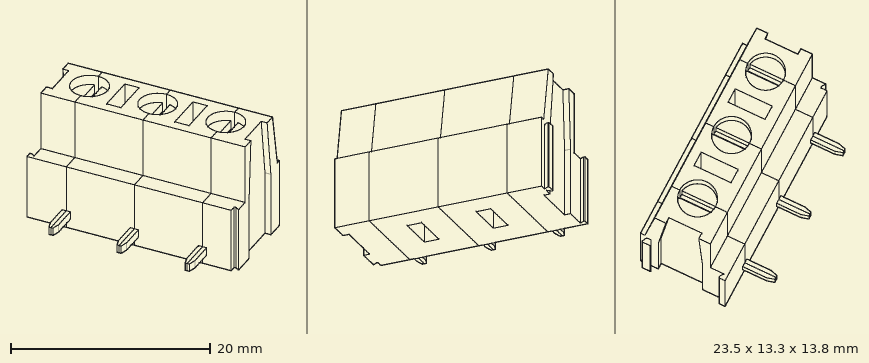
import cadquery as cq


pole_pitch = 7.62
pole_count = 3
end_length = pole_pitch / 2
first_pole_x = -pole_pitch * (pole_count - 1) / 2
last_pole_x = -first_pole_x
left_face_x = first_pole_x - end_length
right_face_x = last_pole_x + end_length

body_depth = 9.8
body_height = 13.8
front_step_height = 7.2
back_step_height = 7.7
upper_front_y = 1.95
back_step_y = 9.3
top_back_y = 8.2

window_width = 1.6
window_front_y = 3.05
window_back_y = 7.2

end_recess_depth = 0.66
end_recess_base_front_y = 2.85
end_recess_base_back_y = 7.8
end_recess_top_front_y = 3.25
end_recess_top_back_y = 6.95
end_recess_bend_height = front_step_height

screw_y = 5.3
screw_radius = 2.0
screw_well_depth = 1.1
driver_slot_width = 0.8
driver_slot_depth = 1.0

pin_length = 3.5
pin_taper_length = 0.8
pin_width = 0.92
pin_tip_width = 0.48
pin_bottom_z = 1.1
pin_height = 0.88

joint_reach = 0.6
hook_bend_reach = 0.43
hook_tip_y = 0.68
hook_bend_y = 0.72
hook_root_y = 0.44
tail_centre_y = 8.86
tail_bend_reach = 0.53
tail_tip_half_width = 0.44
tail_bend_half_width = 0.52
tail_root_half_width = 0.23


def section_block(start_x, end_x):
    """Stepped housing section between two X positions."""
    outline = [
        (0, 0),
        (body_depth, 0),
        (body_depth, back_step_height),
        (back_step_y, back_step_height),
        (top_back_y, body_height),
        (upper_front_y, body_height),
        (upper_front_y, front_step_height),
        (0, front_step_height),
    ]
    return cq.Workplane("YZ", origin=(start_x, 0, 0)).polyline(outline).close().extrude(end_x - start_x)


def add_half_pole(section, pole_x, side):
    """Give a section its half of a pole; side is +1 or -1, the X direction of the section."""
    half_pin_outline = [
        (pole_x, 0),
        (pole_x + side * pin_width / 2, 0),
        (pole_x + side * pin_width / 2, pin_taper_length - pin_length),
        (pole_x + side * pin_tip_width / 2, -pin_length),
        (pole_x, -pin_length),
    ]
    pin_plane = cq.Workplane("XY", origin=(0, 0, pin_bottom_z))
    half_pin = pin_plane.polyline(half_pin_outline).close().extrude(pin_height)

    screw_top = cq.Workplane("XY", origin=(pole_x, screw_y, body_height))
    well = screw_top.circle(screw_radius).extrude(-screw_well_depth)
    slot_bottom = screw_well_depth + driver_slot_depth
    slot_strip = screw_top.rect(driver_slot_width, 2 * screw_radius).extrude(-slot_bottom)
    screw_bore = screw_top.circle(screw_radius).extrude(-slot_bottom)
    slot = slot_strip.intersect(screw_bore)
    return section.union(half_pin).cut(well).cut(slot)


def end_recess(start_x):
    """Tapered pocket of an end face, filling the recess depth in +X from start_x."""
    outline = [
        (end_recess_base_front_y, 0),
        (end_recess_base_back_y, 0),
        (end_recess_base_back_y, end_recess_bend_height),
        (end_recess_top_back_y, body_height),
        (end_recess_top_front_y, body_height),
        (end_recess_base_front_y, end_recess_bend_height),
    ]
    return cq.Workplane("YZ", origin=(start_x, 0, 0)).polyline(outline).close().extrude(end_recess_depth)


def front_hook(root_x):
    """Undercut hook reaching in -X from root_x; the notch that receives it has the same shape."""
    outline = [
        (root_x, 0),
        (root_x - joint_reach, 0),
        (root_x - joint_reach, hook_tip_y),
        (root_x - hook_bend_reach, hook_bend_y),
        (root_x, hook_root_y),
    ]
    return cq.Workplane("XY").polyline(outline).close().extrude(front_step_height)


def dovetail_tail():
    """Dovetail tail on the left end face, widest just behind its tip."""
    outline = [
        (left_face_x, tail_centre_y - tail_root_half_width),
        (left_face_x - tail_bend_reach, tail_centre_y - tail_bend_half_width),
        (left_face_x - joint_reach, tail_centre_y - tail_tip_half_width),
        (left_face_x - joint_reach, tail_centre_y + tail_tip_half_width),
        (left_face_x - tail_bend_reach, tail_centre_y + tail_bend_half_width),
        (left_face_x, tail_centre_y + tail_root_half_width),
    ]
    return cq.Workplane("XY").polyline(outline).close().extrude(front_step_height)


def left_end_section():
    """Left end with its face recess, hook, tail and half of the first pole."""
    section = section_block(left_face_x, first_pole_x)
    section = section.cut(end_recess(left_face_x))
    section = section.union(front_hook(left_face_x)).union(dovetail_tail())
    return add_half_pole(section, first_pole_x, -1)


def middle_section(start_x):
    """Section between two neighbouring poles, with a window through it."""
    end_x = start_x + pole_pitch
    window_centre = ((start_x + end_x) / 2, (window_front_y + window_back_y) / 2, 0)
    window_plane = cq.Workplane("XY", origin=window_centre)
    window = window_plane.rect(window_width, window_back_y - window_front_y).extrude(body_height)
    section = section_block(start_x, end_x).cut(window)
    section = add_half_pole(section, start_x, 1)
    return add_half_pole(section, end_x, -1)


def right_end_section():
    """Right end with its face recess, hook notch and half of the last pole."""
    section = section_block(last_pole_x, right_face_x)
    section = section.cut(end_recess(right_face_x - end_recess_depth))
    section = section.cut(front_hook(right_face_x))
    return add_half_pole(section, last_pole_x, 1)


left_end = left_end_section()
middles = [middle_section(first_pole_x + i * pole_pitch) for i in range(pole_count - 1)]
right_end = right_end_section()

result = cq.Compound.makeCompound([
    left_end.val(),
    *[middle.val() for middle in middles],
    right_end.val(),
])